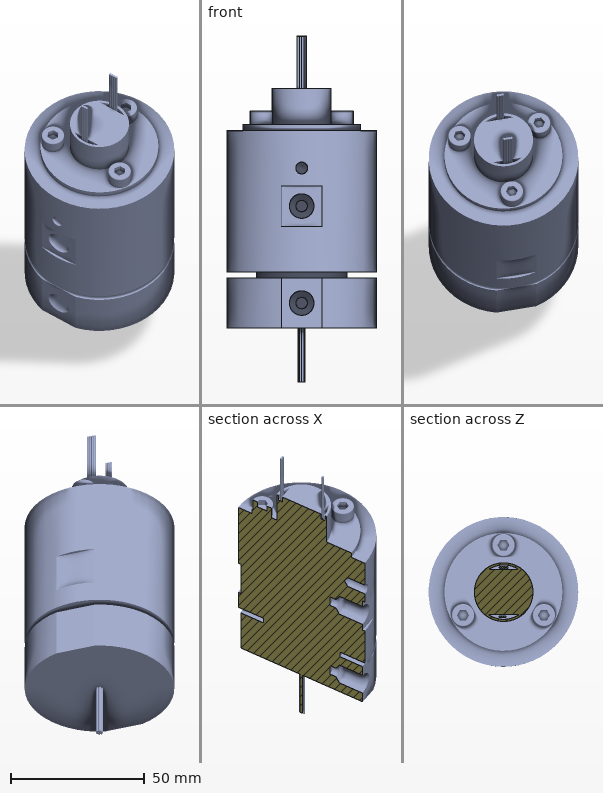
import cadquery as cq
import math

total_height = 129.2
body_diameter = 56.0
body_height = 52.8
base_height = 18.7
neck_diameter = 34.0
neck_height = 2.2
flange_diameter = 44.0
flange_height = 2.3
connector_diameter = 22.1
connector_height = 13.5
lower_cable_length = 20.2

base_bottom = lower_cable_length
base_top = base_bottom + base_height
body_bottom = base_top + neck_height
body_top = body_bottom + body_height
flange_top = body_top + flange_height
connector_top = flange_top + connector_height

flat_width = 15.1
body_radius = body_diameter / 2
flat_distance = math.sqrt(body_radius**2 - (flat_width / 2) ** 2)
front_flat_z = 65.8
back_flat_z = 56.7

drill_point_angle = 118.0
port_diameter = 9.2
port_depth = 10.3
port_bore_diameter = 4.3
port_bore_length = 2.6
base_port_z = (base_bottom + base_top) / 2
small_hole_diameter = 4.4
small_hole_depth = 7.8
small_hole_z = 80.0

screw_count = 3
screw_first_angle = 90.0
screw_circle_radius = 17.5
head_diameter = 8.4
head_height = 5.0
head_fillet = 0.4
socket_width = 3.9
socket_depth = 2.6

insert_diameter = 20.2
insert_flat_distance = 8.5
slot_depth = 2.6

strand_diameter = 0.9
strand_pitch = 0.88
strand_row_y = 9.2
strand_row_length = 4
front_strand_count = 3
strands_around_core = 6


def cylinder(diameter, bottom, top, x=0.0, y=0.0):
    """Upright cylinder between two levels."""
    return cq.Workplane("XY", origin=(x, y, bottom)).circle(diameter / 2).extrude(top - bottom)


def outer_flat(side, bottom, top):
    """Material outside a flat; side is -1 for the -Y face and +1 for the +Y face."""
    thickness = body_radius
    middle_y = side * (flat_distance + thickness / 2)
    return (
        cq.Workplane("XY", origin=(0, middle_y, bottom))
        .rect(body_diameter, thickness)
        .extrude(top - bottom)
    )


def drilled_hole(z, start_y, radius, depth, end_radius=0.0, end_length=0.0):
    """Hole along +Y with a conical end that runs into an optional narrower bore."""
    cone_length = (radius - end_radius) / math.tan(math.radians(drill_point_angle / 2))
    cone_end = depth + cone_length
    profile = cq.Workplane("XY", origin=(0, start_y, z)).moveTo(0, 0).lineTo(radius, 0)
    profile = profile.lineTo(radius, depth).lineTo(end_radius, cone_end)
    if end_length > 0:
        profile = profile.lineTo(end_radius, cone_end + end_length).lineTo(0, cone_end + end_length)
    return profile.close().revolve(360, (0, 0, 0), (0, 1, 0))


def port(z):
    """Port hole that starts at the flat on the -Y side."""
    return drilled_hole(
        z, -flat_distance, port_diameter / 2, port_depth, port_bore_diameter / 2, port_bore_length
    )


def screw_head(x, y):
    """Cylindrical screw head with a rounded rim and a hexagon socket."""
    head_top = flange_top + head_height
    head = cylinder(head_diameter, flange_top, head_top, x, y).faces(">Z").edges().fillet(head_fillet)
    socket = (
        cq.Workplane("XY", origin=(x, y, head_top))
        .polygon(6, socket_width / math.cos(math.pi / 6))
        .extrude(-socket_depth)
    )
    return head.cut(socket)


def wire_slot(side):
    """Circular segment between the insert's flat and the inside of the connector rim."""
    bottom = connector_top - slot_depth
    beyond_flat = (
        cq.Workplane("XY", origin=(0, side * (insert_flat_distance + insert_diameter / 2), bottom))
        .rect(insert_diameter, insert_diameter)
        .extrude(slot_depth)
    )
    return cylinder(insert_diameter, bottom, connector_top).intersect(beyond_flat)


part = cylinder(body_diameter, base_bottom, base_top)
part = part.union(cylinder(neck_diameter, base_top, body_bottom))
part = part.union(cylinder(body_diameter, body_bottom, body_top))
part = part.union(cylinder(flange_diameter, body_top, flange_top))
part = part.union(cylinder(connector_diameter, flange_top, connector_top))

for side, flat_z in ((-1, front_flat_z), (1, back_flat_z)):
    part = part.cut(outer_flat(side, base_bottom, base_top))
    part = part.cut(outer_flat(side, flat_z - flat_width / 2, flat_z + flat_width / 2))

part = part.cut(port(front_flat_z))
part = part.cut(port(base_port_z))
part = part.cut(drilled_hole(small_hole_z, -body_radius, small_hole_diameter / 2, small_hole_depth))

for i in range(screw_count):
    angle = math.radians(screw_first_angle + i * 360 / screw_count)
    x = screw_circle_radius * math.cos(angle)
    y = screw_circle_radius * math.sin(angle)
    part = part.union(screw_head(x, y))

for side, strand_count in ((-1, front_strand_count), (1, strand_row_length)):
    part = part.cut(wire_slot(side))
    for i in range(strand_count):
        x = (i - (strand_row_length - 1) / 2) * strand_pitch
        strand = cylinder(strand_diameter, connector_top - slot_depth, total_height, x, side * strand_row_y)
        part = part.union(strand)

part = part.union(cylinder(strand_diameter, 0, base_bottom))
for i in range(strands_around_core):
    angle = 2 * math.pi * i / strands_around_core
    x = strand_pitch * math.cos(angle)
    y = strand_pitch * math.sin(angle)
    part = part.union(cylinder(strand_diameter, 0, base_bottom, x, y))

result = part